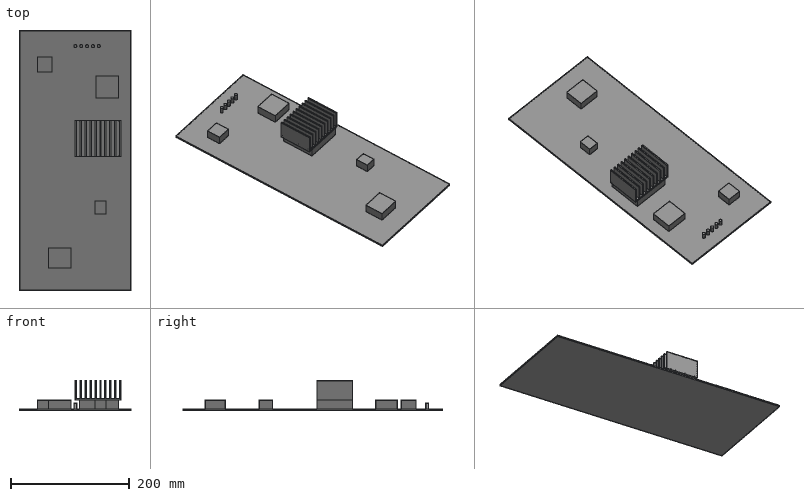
import cadquery as cq

BOARD_WIDTH = 187.16
BOARD_LENGTH = 438.0
BOARD_THICKNESS = 2.5

COMPONENT_HEIGHT = 15.0
COMPONENT_TOP = BOARD_THICKNESS + COMPONENT_HEIGHT

SMALL_COMPONENTS = [
    (24.6, 25.35, -51.35, 161.7),
    (38.3, 36.9, 53.9, 124.35),
    (38.15, 34.1, -26.15, -164.25),
    (18.25, 22.45, 42.55, -79.0),
]

SINK_WIDTH = 76.85
SINK_LENGTH = 60.3
SINK_X = 38.4
SINK_Y = 37.15
SINK_BASE_THICKNESS = 3.0
FIN_COUNT = 10
FIN_THICKNESS = 2.3
FIN_HEIGHT = 30.0
FIN_PITCH = (SINK_WIDTH - FIN_THICKNESS) / (FIN_COUNT - 1)
FIRST_FIN_X = SINK_X - (SINK_WIDTH - FIN_THICKNESS) / 2
FIN_BOTTOM = COMPONENT_TOP + SINK_BASE_THICKNESS

PROCESSOR_WIDTH = 65.65
PROCESSOR_LENGTH = SINK_LENGTH
PROCESSOR_X = 39.85
PROCESSOR_Y = SINK_Y

PIN_COUNT = 5
PIN_DIAMETER = 5.0
PIN_HEIGHT = 10.0
PIN_PITCH = 9.9
FIRST_PIN_X = 0.15
PIN_Y = 193.0


def block(width, length, height, x, y, bottom):
    """Box centred on (x, y) that rises from the level `bottom`."""
    box = cq.Workplane("XY").box(width, length, height, centered=(True, True, False))
    return box.translate((x, y, bottom))


def make_board():
    """Board plate in one piece with the small components."""
    plate = block(BOARD_WIDTH, BOARD_LENGTH, BOARD_THICKNESS, 0, 0, 0)
    for width, length, x, y in SMALL_COMPONENTS:
        plate = plate.union(block(width, length, COMPONENT_HEIGHT, x, y, BOARD_THICKNESS))
    return plate


def make_processor():
    """Box that rests on the board and carries the heat sink."""
    return block(
        PROCESSOR_WIDTH, PROCESSOR_LENGTH, COMPONENT_HEIGHT, PROCESSOR_X, PROCESSOR_Y, BOARD_THICKNESS
    )


def make_heat_sink():
    """Base plate on top of the processor, with evenly spaced fins flush with its two sides."""
    sink = block(SINK_WIDTH, SINK_LENGTH, SINK_BASE_THICKNESS, SINK_X, SINK_Y, COMPONENT_TOP)
    for index in range(FIN_COUNT):
        fin_x = FIRST_FIN_X + index * FIN_PITCH
        sink = sink.union(block(FIN_THICKNESS, SINK_LENGTH, FIN_HEIGHT, fin_x, SINK_Y, FIN_BOTTOM))
    return sink


def make_pin(x):
    """Round connector pin standing on the board."""
    pin = cq.Workplane("XY").circle(PIN_DIAMETER / 2).extrude(PIN_HEIGHT)
    return pin.translate((x, PIN_Y, BOARD_THICKNESS))


board = make_board()
processor = make_processor()
heat_sink = make_heat_sink()
pins = [make_pin(FIRST_PIN_X + index * PIN_PITCH) for index in range(PIN_COUNT)]

result = cq.Compound.makeCompound(
    [board.val(), processor.val(), heat_sink.val(), *[pin.val() for pin in pins]]
)